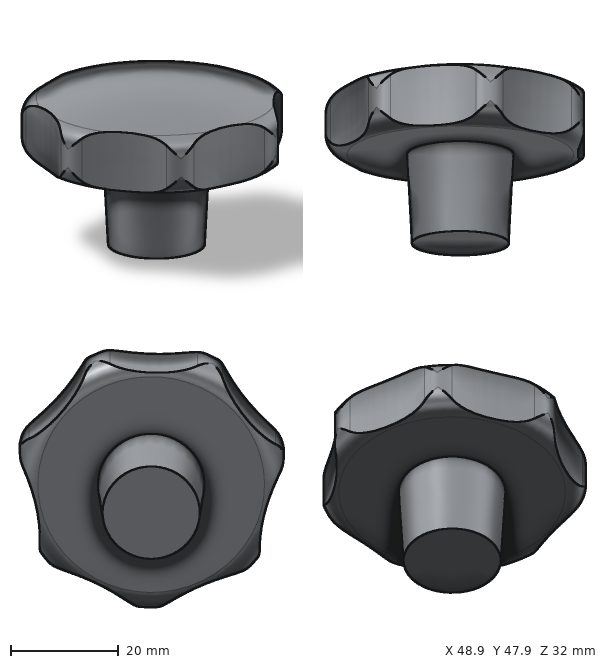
import cadquery as cq
import math

lobe_count = 7
tip_radius = 25.0
total_height = 32.0
head_bottom = 17.0

lobe_round = 4.0
waist_radius = 21.75

dome_radius = 70.0
rim_round = 4.0

stem_bottom_radius = 9.0
stem_draft = 3.0
stem_top_radius = stem_bottom_radius + head_bottom * math.tan(math.radians(stem_draft))

half_pitch = math.pi / lobe_count
lobe_centre_radius = tip_radius - lobe_round


def polar(radius, angle):
    return (radius * math.cos(angle), radius * math.sin(angle))


def scallop_radius():
    """Radius of the concave arc that is tangent to both neighbouring lobe tips."""
    along, across = polar(lobe_centre_radius, half_pitch)
    inset = waist_radius - along
    return (inset**2 + across**2 - lobe_round**2) / (2 * (lobe_round - inset))


def grip_prism():
    """Seven-lobed outline extruded over the full height of the head."""
    concave = scallop_radius()
    scallop_centre_radius = waist_radius + concave
    tangent_share = lobe_round / (lobe_round + concave)

    def tangent_point(lobe_angle, side):
        lx, ly = polar(lobe_centre_radius, lobe_angle)
        sx, sy = polar(scallop_centre_radius, lobe_angle + side * half_pitch)
        return (lx + (sx - lx) * tangent_share, ly + (sy - ly) * tangent_share)

    first_angle = math.pi / 2
    outline = cq.Workplane("XY").workplane(offset=head_bottom)
    outline = outline.moveTo(*tangent_point(first_angle, -1))
    for index in range(lobe_count):
        angle = first_angle + 2 * half_pitch * index
        next_angle = angle + 2 * half_pitch
        outline = outline.threePointArc(polar(tip_radius, angle), tangent_point(angle, 1))
        outline = outline.threePointArc(
            polar(waist_radius, angle + half_pitch), tangent_point(next_angle, -1)
        )
    return outline.close().extrude(total_height - head_bottom)


def head_blank():
    """Revolved head: flat underside, rounded rim and shallow spherical dome."""
    dome_centre_height = total_height - dome_radius
    rim_centre_radius = tip_radius - rim_round
    dome_edge_angle = math.asin(rim_centre_radius / (dome_radius - rim_round))
    shoulder_height = dome_centre_height + (dome_radius - rim_round) * math.cos(dome_edge_angle)

    def dome_point(angle):
        return (
            dome_radius * math.sin(angle),
            dome_centre_height + dome_radius * math.cos(angle),
        )

    return (
        cq.Workplane("XZ")
        .moveTo(0, head_bottom)
        .lineTo(rim_centre_radius, head_bottom)
        .radiusArc((tip_radius, head_bottom + rim_round), -rim_round)
        .lineTo(tip_radius, shoulder_height)
        .tangentArcPoint(dome_point(dome_edge_angle), relative=False)
        .threePointArc(dome_point(dome_edge_angle / 2), (0, total_height))
        .close()
        .revolve(360, (0, 0, 0), (0, 1, 0))
    )


def stem():
    """Tapered stem below the head, widening upwards."""
    return (
        cq.Workplane("XY")
        .circle(stem_bottom_radius)
        .workplane(offset=head_bottom)
        .circle(stem_top_radius)
        .loft()
    )


result = head_blank().intersect(grip_prism()).union(stem())